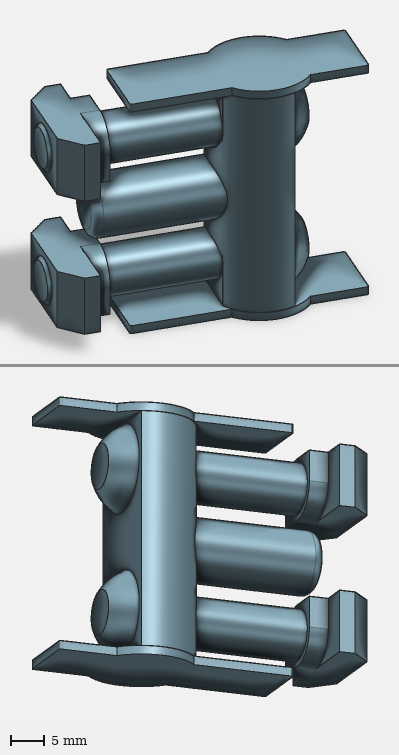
import cadquery as cq

total_height = 39.8
plate_thickness = 1.35
plate_width = 11.4
plate_disc_radius = 8.45
plate_back = 15.55
plate_front = -22.5
plate_corner_radius = 0.35

body_radius = 8.35
body_back = 3.1
body_height = total_height - 2 * plate_thickness

pin_radius = 5.0
pin_front = -27.9
pin_rounding = 1.5

bolt_offset = 11.55
bolt_radius = 4.05
bolt_front = -34.85
bolt_chamfer = 0.8
seat_front = -7.2
seat_width = 8.4

head_base_radius = 6.9
head_flat_radius = 3.55
head_back = 6.75
head_mid_radius = 5.65
head_mid_back = 5.0

nut_width = 19.0
nut_height = 9.75
nut_back = -25.4
nut_shoulder = -28.5
nut_bevel_start = -31.0
nut_front = -34.25
nut_face_width = 12.4


def y_cylinder(radius, front, back, z):
    """Cylinder parallel to Y, from front to back, at height z."""
    plane = cq.Workplane("XZ", origin=(0, back, z))
    return plane.circle(radius).extrude(back - front)


def make_plate(bottom):
    strip = (
        cq.Workplane("XY")
        .box(plate_width, plate_back - plate_front, plate_thickness, centered=(True, False, False))
        .edges("|Z")
        .fillet(plate_corner_radius)
        .translate((0, plate_front, bottom))
    )
    disc = cq.Workplane("XY", origin=(0, 0, bottom)).circle(plate_disc_radius).extrude(plate_thickness)
    return strip.union(disc)


def make_body():
    """Cylinder with a flat back and a U-shaped flat seat in front for each bolt."""
    body = cq.Workplane("XY").circle(body_radius).extrude(body_height / 2, both=True)
    behind = cq.Workplane("XY").box(
        2 * body_radius, body_radius, body_height, centered=(True, False, True)
    )
    body = body.cut(behind.translate((0, body_back, 0)))
    seat_height = body_height / 2 - bolt_offset
    for side in (1, -1):
        open_end = cq.Workplane("XY").box(seat_width, body_radius, seat_height)
        open_end_z = side * (bolt_offset + seat_height / 2)
        body = body.cut(open_end.translate((0, seat_front - body_radius / 2, open_end_z)))
        round_end = y_cylinder(seat_width / 2, seat_front - body_radius, seat_front, side * bolt_offset)
        body = body.cut(round_end)
    return body


def make_pin():
    return y_cylinder(pin_radius, pin_front, 0, 0).faces("<Y").edges().fillet(pin_rounding)


def make_bolt(z):
    """Chamfered shank with a domed, flat-ended head behind the body."""
    shank = y_cylinder(bolt_radius, bolt_front, body_back, z).faces("<Y").edges().chamfer(bolt_chamfer)
    head = (
        cq.Workplane("XY")
        .moveTo(0, body_back)
        .lineTo(head_base_radius, body_back)
        .threePointArc((head_mid_radius, head_mid_back), (head_flat_radius, head_back))
        .lineTo(0, head_back)
        .close()
        .revolve(360, (0, 0, 0), (0, 1, 0))
        .translate((0, 0, z))
    )
    return shank.union(head)


def make_nut(z):
    """Bevelled bar with a square neck that is rounded on two opposite corners."""
    neck = (
        cq.Workplane("XZ", origin=(0, nut_back, z))
        .rect(nut_height, nut_height)
        .extrude(nut_back - nut_shoulder)
    )
    half = nut_height / 2
    rounded = y_cylinder(half, nut_shoulder, nut_back, z)
    for side in (1, -1):
        corner = cq.Workplane("XZ", origin=(side * half / 2, nut_back, z + side * half / 2))
        neck = neck.cut(corner.rect(half, half).extrude(nut_back - nut_shoulder))
    bar = (
        cq.Workplane("XY", origin=(0, 0, z - nut_height / 2))
        .polyline([
            (-nut_width / 2, nut_shoulder),
            (nut_width / 2, nut_shoulder),
            (nut_width / 2, nut_bevel_start),
            (nut_face_width / 2, nut_front),
            (-nut_face_width / 2, nut_front),
            (-nut_width / 2, nut_bevel_start),
        ])
        .close()
        .extrude(nut_height)
    )
    return bar.union(neck).union(rounded)


result = make_body().union(make_pin())
for bolt_z in (bolt_offset, -bolt_offset):
    result = result.union(make_bolt(bolt_z)).union(make_nut(bolt_z))
for plate_bottom in (-total_height / 2, body_height / 2):
    result = result.union(make_plate(plate_bottom))